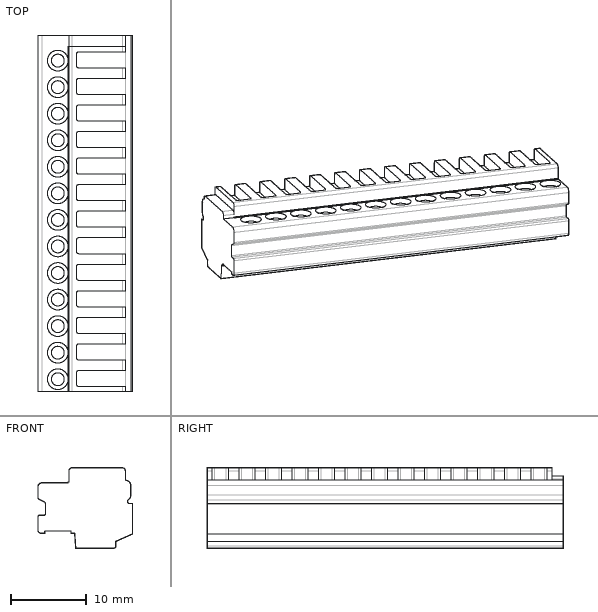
import cadquery as cq
import math

length = 47.0
width = 12.5
height = 10.6

housing_left = 4.1
housing_right = 11.55
housing_edge_radius = 0.4
tongue_length = 1.5
tongue_height = 9.55
main_length = length - tongue_length

shelf_z = 8.65
shelf_edge_radius = 0.55
groove_depth = 1.0
groove_slope_outer_z = 6.55
groove_slope_inner_z = 6.0
groove_floor_z = 4.35
groove_edge_radius = 0.25
groove_root_radius = 0.15
ledge_width = 0.15
ledge_height = 0.1

foot_z = 1.97
foot_width = 0.95
foot_radius = 0.4
relief_z = 2.25
relief_end = 4.35
base_left_top = 4.85
base_left_bottom = 5.0
base_right = 10.3
base_right_radius = 0.3
slope_low_z = 0.9
slope_high_z = 1.9

bead_radius = 0.7
bead_upper_z = 8.25
bead_lower_z = 7.0
bead_top_z = bead_upper_z + bead_radius
bead_end_angle = 60
notch_root_x = 11.85
notch_root_z = 6.1
notch_end_x = 12.05
notch_z = 5.9
notch_radius = 0.15

pole_count = 13
first_pole_y = 1.65
last_pole_y = 43.65
pole_pitch = (last_pole_y - first_pole_y) / (pole_count - 1)
well_x = 2.65
well_top_radius = 1.35
well_floor_radius = 0.85
well_depth = 0.5
slot_left = 5.08
slot_width = 2.1
slot_offset_y = 0.1
slot_corner_radius = 0.35
slot_floor_z = bead_top_z


def bead_point(centre_z, angle):
    """Point on the bead's rounded outline, with the angle in degrees up from +X."""
    turn = math.radians(angle)
    return (housing_right + bead_radius * math.cos(turn), centre_z + bead_radius * math.sin(turn))


def block(top_z, y_start, y_length):
    """Stretch of the body from y_start, with its housing rising to top_z."""
    solid = (
        cq.Workplane("XZ", origin=(0, y_start, 0))
        .moveTo(base_left_bottom, 0)
        .lineTo(base_right, 0)
        .lineTo(base_right, slope_low_z)
        .lineTo(width, slope_high_z)
        .lineTo(width, notch_z)
        .lineTo(notch_end_x, notch_z)
        .threePointArc((notch_root_x, notch_root_z), bead_point(bead_lower_z, -bead_end_angle))
        .threePointArc(bead_point(bead_lower_z, -bead_end_angle / 2), bead_point(bead_lower_z, 0))
        .lineTo(*bead_point(bead_upper_z, 0))
        .threePointArc(bead_point(bead_upper_z, 45), bead_point(bead_upper_z, 90))
        .lineTo(housing_right, top_z)
        .lineTo(housing_left, top_z)
        .lineTo(housing_left, shelf_z)
        .lineTo(0, shelf_z)
        .lineTo(0, groove_slope_outer_z)
        .lineTo(groove_depth, groove_slope_inner_z)
        .lineTo(groove_depth, groove_floor_z)
        .lineTo(0, groove_floor_z)
        .lineTo(0, foot_z)
        .lineTo(foot_width, foot_z)
        .lineTo(foot_width, relief_z)
        .lineTo(relief_end, relief_z)
        .lineTo(relief_end, foot_z)
        .lineTo(base_left_top, foot_z)
        .close()
        .extrude(-y_length)
    )
    rounded_corners = [
        (housing_left, top_z, housing_edge_radius),
        (housing_right, top_z, housing_edge_radius),
        (0, shelf_z, shelf_edge_radius),
        (0, groove_slope_outer_z, groove_edge_radius),
        (groove_depth, groove_slope_inner_z, groove_root_radius),
        (groove_depth, groove_floor_z, groove_root_radius),
        (0, groove_floor_z, groove_edge_radius),
        (0, foot_z, foot_radius),
        (base_right, 0, base_right_radius),
        (width, notch_z, notch_radius),
    ]
    y_middle = y_start + y_length / 2
    for x, z, radius in rounded_corners:
        edge = cq.selectors.NearestToPointSelector((x, y_middle, z))
        solid = solid.edges("|Y").edges(edge).fillet(radius)
    return solid


def wall_ledge():
    """Fine ledge along the foot of the housing's -X wall."""
    corner = (housing_left - ledge_width, 0, shelf_z)
    return cq.Workplane(origin=corner).box(ledge_width, main_length, ledge_height, centered=False)


def screw_well(y):
    """Conical well in the shelf, narrowing to a flat floor."""
    return (
        cq.Workplane(origin=(well_x, y, shelf_z))
        .circle(well_top_radius)
        .workplane(offset=-well_depth)
        .circle(well_floor_radius)
        .loft(ruled=True)
    )


def slot(y):
    """Slot in the top of the housing, open on the +X side."""
    slot_length = width - slot_left
    corner = (slot_left, y + slot_offset_y - slot_width / 2, slot_floor_z)
    return (
        cq.Workplane(origin=corner)
        .box(slot_length, slot_width, height - slot_floor_z, centered=False)
        .edges("|Z and <X")
        .fillet(slot_corner_radius)
    )


result = block(height, 0, main_length)
result = result.union(block(tongue_height, main_length, tongue_length))
result = result.union(wall_ledge())
for pole in range(pole_count):
    pole_y = first_pole_y + pole * pole_pitch
    result = result.cut(screw_well(pole_y)).cut(slot(pole_y))